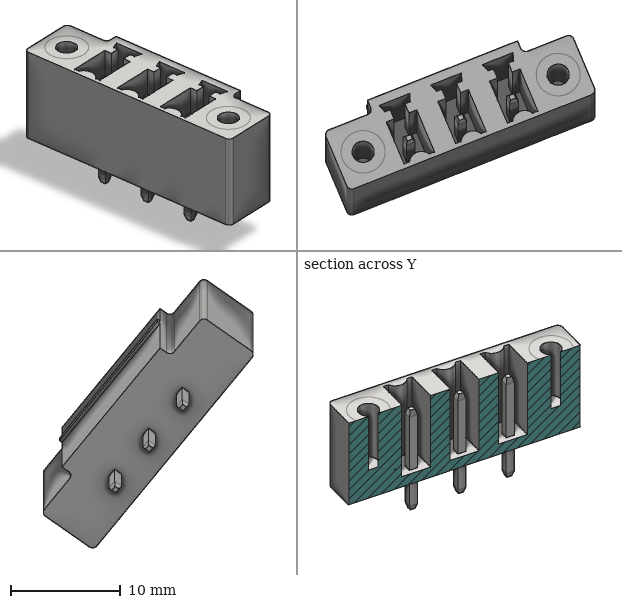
import cadquery as cq


housing_length = 24.36
housing_height = 9.2
housing_depth = 7.25
flange_length = 4.8
flange_depth = 6.0
corner_radius = 0.5

ridge_projection = 0.3
ridge_height = 0.6
ridge_bottom = 5.7

pin_count = 3
pin_pitch = 5.08
pin_row_y = 2.9
pin_width = 0.85
pin_thickness = 0.8
pin_tip_width = 0.5
pin_tip_thickness = 0.45
pin_tip_length = 0.6
pin_tail_length = 3.4
pin_top = 7.75

chamber_width = 3.0
chamber_front = 0.43
chamber_back = 4.7
chamber_floor = 1.2
neck_width = 1.46
dovetail_front = 5.64
dovetail_back = 6.38
dovetail_front_width = 2.5
rib_width = 1.96
rib_projection = 0.58

insert_diameter = 4.0
insert_hole_diameter = 2.0
insert_depth = 6.0
insert_spacing = 19.18

half_length = housing_length / 2
centre_half_length = half_length - flange_length
insert_x = insert_spacing / 2
pin_positions = [(i - (pin_count - 1) / 2) * pin_pitch for i in range(pin_count)]


def make_housing():
    """Flanged block with rounded flange corners and a rounded step to the centre section."""
    flanges = (
        cq.Workplane("XY")
        .box(housing_length, flange_depth, housing_height, centered=(True, False, False))
    )
    centre = (
        cq.Workplane("XY")
        .box(2 * centre_half_length, housing_depth, housing_height, centered=(True, False, False))
    )
    block = flanges.union(centre)
    flange_corners = block.edges("|Z and (<X or >X)")
    block = flange_corners.fillet(corner_radius)
    inner_corners = cq.selectors.BoxSelector(
        (-centre_half_length - corner_radius / 2, flange_depth - corner_radius / 2, 0),
        (centre_half_length + corner_radius / 2, flange_depth + corner_radius / 2, housing_height),
    )
    return block.edges("|Z").edges(inner_corners).fillet(corner_radius)


def make_ridge():
    """Bar along the back face of the centre section."""
    return (
        cq.Workplane("XY", origin=(0, housing_depth, ridge_bottom))
        .box(2 * centre_half_length, ridge_projection, ridge_height, centered=(True, False, False))
    )


def make_chamber(x):
    """Keyed cavity: dovetail and neck at the back, rounded rib standing on the front wall."""
    half_width = chamber_width / 2
    half_neck = neck_width / 2
    half_dovetail = dovetail_front_width / 2
    half_rib = rib_width / 2
    return (
        cq.Workplane("XY", origin=(x, 0, chamber_floor))
        .moveTo(-half_width, chamber_front)
        .lineTo(-half_rib, chamber_front)
        .threePointArc((0, chamber_front + rib_projection), (half_rib, chamber_front))
        .lineTo(half_width, chamber_front)
        .lineTo(half_width, chamber_back)
        .lineTo(half_neck, chamber_back)
        .lineTo(half_neck, dovetail_front)
        .lineTo(half_dovetail, dovetail_front)
        .lineTo(half_width, dovetail_back)
        .lineTo(-half_width, dovetail_back)
        .lineTo(-half_dovetail, dovetail_front)
        .lineTo(-half_neck, dovetail_front)
        .lineTo(-half_neck, chamber_back)
        .lineTo(-half_width, chamber_back)
        .close()
        .extrude(housing_height - chamber_floor)
    )


def make_pin_tip(x, z, direction):
    """Tapered end of a pin, starting at height z and pointing up (1) or down (-1)."""
    return (
        cq.Workplane("XY", origin=(x, pin_row_y, z))
        .rect(pin_width, pin_thickness)
        .workplane(offset=direction * pin_tip_length)
        .rect(pin_tip_width, pin_tip_thickness)
        .loft(ruled=True)
    )


def make_pin(x):
    """Rectangular contact pin with both ends tapered."""
    shank_bottom = pin_tip_length - pin_tail_length
    shank_top = pin_top - pin_tip_length
    shank = (
        cq.Workplane("XY", origin=(x, pin_row_y, shank_bottom))
        .rect(pin_width, pin_thickness)
        .extrude(shank_top - shank_bottom)
    )
    return shank.union(make_pin_tip(x, shank_top, 1)).union(make_pin_tip(x, shank_bottom, -1))


def make_flange_cylinder(x, diameter):
    """Vertical cylinder reaching down from the top face at a screw position."""
    return (
        cq.Workplane("XY", origin=(x, pin_row_y, housing_height - insert_depth))
        .circle(diameter / 2)
        .extrude(insert_depth)
    )


def make_insert(x):
    """Sleeve set flush with the top face, with a blind hole as deep as the sleeve."""
    sleeve = make_flange_cylinder(x, insert_diameter)
    return sleeve.cut(make_flange_cylinder(x, insert_hole_diameter))


result = make_housing().union(make_ridge())
for pin_x in pin_positions:
    result = result.cut(make_chamber(pin_x))
    result = result.union(make_pin(pin_x))

for insert_centre_x in (-insert_x, insert_x):
    result = result.cut(make_flange_cylinder(insert_centre_x, insert_diameter), clean=False)
    result = result.union(make_insert(insert_centre_x), clean=False)